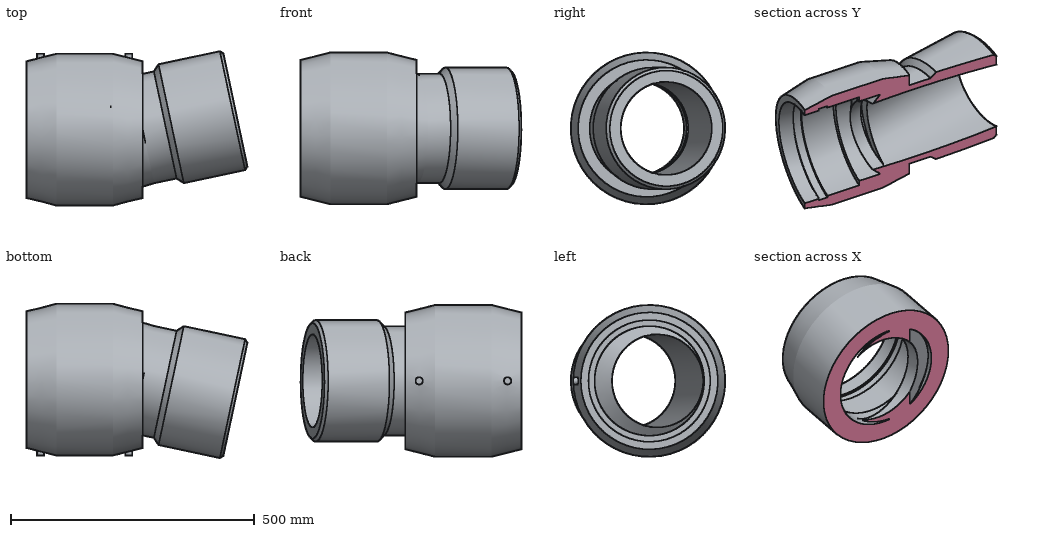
import cadquery as cq
import math

sleeve_length = 238.5
sleeve_taper_length = 61.2
sleeve_radius = 312.0 / 2
sleeve_end_radius = 281.5 / 2

socket_radius = 250.0 / 2
socket_depth = 124.0
groove_start = 32.5
groove_end = 51.5
groove_depth = 4.5
stop_bore_end = 181.5
stop_radius = 225.0 / 2

pin_radius = 15.0 / 2
pin_inset = 28.5
pin_root_height = 136.0

tilt = 12.0
bend_start = 159.0
neck_radius = stop_radius
neck_length = 47.0
spigot_radius = socket_radius
spigot_end = 194.5
spigot_end_chamfer = 6.5
spigot_bore_radius = 191.0 / 2

collar_setback = 81.5
collar_length = 27.0
collar_base_radius = 126.5

shoulder_end = neck_length + spigot_radius - neck_radius

sleeve_axis = cq.Vector(1, 0, 0)
bend_start_centre = sleeve_axis * bend_start
pivot = (sleeve_length, 0, 0)
tilt_direction = (math.cos(math.radians(tilt)), math.sin(math.radians(tilt)), 0)
tilted_plane = cq.Plane(origin=pivot, xDir=(0, 0, 1), normal=tilt_direction)


def cylinder_along_x(radius, start, end):
    return cq.Workplane("YZ", origin=(start, 0, 0)).circle(radius).extrude(end - start)


def make_sleeve():
    profile = [
        (0, 0),
        (0, sleeve_end_radius),
        (sleeve_taper_length, sleeve_radius),
        (sleeve_length - sleeve_taper_length, sleeve_radius),
        (sleeve_length, sleeve_end_radius),
        (sleeve_length, 0),
    ]
    return cq.Workplane("XY").polyline(profile).close().revolve(360, (0, 0, 0), (1, 0, 0))


def make_pin(x):
    root = cq.Workplane("XZ", origin=(x, pin_root_height, 0))
    return root.circle(pin_radius).extrude(pin_root_height - sleeve_radius)


def make_bend():
    base = cq.Wire.makeCircle(sleeve_end_radius, bend_start_centre, sleeve_axis)
    neck = cq.Wire.makeCircle(neck_radius, tilted_plane.origin, tilted_plane.zDir)
    return cq.Workplane(cq.Solid.makeLoft([base, neck], True))


def make_spigot():
    profile = [
        (0, 0),
        (neck_radius, 0),
        (neck_radius, neck_length),
        (spigot_radius, shoulder_end),
        (spigot_radius, spigot_end - spigot_end_chamfer),
        (spigot_radius - spigot_end_chamfer, spigot_end),
        (0, spigot_end),
    ]
    spigot = cq.Workplane("XZ").polyline(profile).close().revolve(360, (0, 0, 0), (0, 1, 0))
    return cq.Workplane(spigot.val().moved(cq.Location(tilted_plane)))


def make_sleeve_bore():
    socket = cylinder_along_x(socket_radius, 0, socket_depth)
    groove = cylinder_along_x(socket_radius + groove_depth, groove_start, groove_end)
    stop_bore = cylinder_along_x(stop_radius, 0, stop_bore_end)
    return socket.union(groove).union(stop_bore)


def make_collar():
    axis = tilted_plane.zDir
    front = tilted_plane.origin - axis * collar_setback
    cone = cq.Solid.makeCone(spigot_bore_radius, collar_base_radius, collar_length, front, axis)
    return cq.Workplane(cone)


def make_spigot_bore():
    front = cq.Workplane(tilted_plane).workplane(offset=-collar_setback)
    return front.circle(spigot_bore_radius).extrude(collar_setback + spigot_end)


result = make_sleeve()
for pin_x in (pin_inset, sleeve_length - pin_inset):
    result = result.union(make_pin(pin_x))
result = result.union(make_bend()).union(make_spigot())
result = result.cut(make_sleeve_bore()).union(make_collar()).cut(make_spigot_bore())